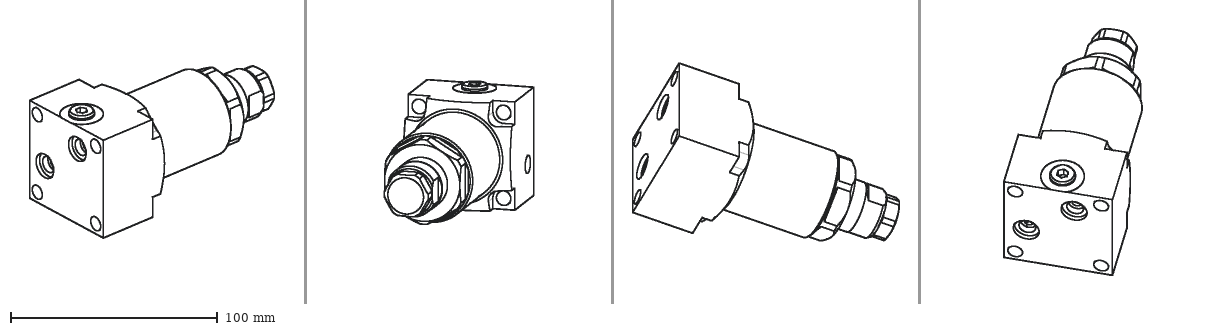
import cadquery as cq
import math


block_width = 53.9
block_length = 41.4
block_half = block_width / 2
block_chamfer_length = 1.9
block_chamfer_angle = 30.0

mount_offset = 21.3
mount_radius = 3.6
pocket_radius = 5.4
pocket_floor_y = 32.0

port_centres = [(7.9, 14.4), (-15.8, -4.6)]
seal_radius = 6.4
seal_depth = 2.3
port_radius = 4.1
port_depth = 5.6
port_bore_radius = 2.3
port_bore_depth = 11.5
port_drill_radius = 1.9
port_drill_depth = 15.0

side_port_y = 10.2
side_port_z = -9.2
side_port_radius = 4.4
side_port_depth = 10.0

plug_y = 9.8
plug_radius = 6.3
plug_height = 2.0
plug_chamfer = 0.6
plug_chamfer_height = 1.3
plug_hex_flats = 5.0
plug_hex_depth = 3.8
spotface_radius = 10.5
spotface_depth = 0.1

barrel_radius = 22.2
barrel_end_y = 87.7
barrel_chamfer = 1.0

nut_end_y = 97.7
nut_radius = 21.1
nut_apothem = 19.0
nut_chamfer = 2.0
nut_flat_start_y = 88.9

neck_end_y = 117.6
neck_radius = 12.7
neck_base_radius = 12.8
neck_base_end_y = 106.2
neck_chamfer = 1.0
neck_chamfer_length = 1.8
neck_flat_offset = 11.2
neck_flat_start_y = 108.1

cap_end_y = 125.4
cap_radius = 11.2
cap_apothem = 10.3
cap_top_radius = 9.0
cap_top_chamfer_length = 0.9
cap_bottom_chamfer = 0.4

drill_point_angle = 118.0
overlap = 1.3


def revolve_profile(points):
    """Solid turned about the Y axis from (radius, y) points."""
    return cq.Workplane("XY").polyline(points).close().revolve(360, (0, 0, 0), (0, 1, 0))


def drilled_hole(origin, direction, radius, depth):
    """Cylinder with a conical drill point."""
    tip = radius / math.tan(math.radians(drill_point_angle / 2))
    start = cq.Vector(*origin)
    axis = cq.Vector(*direction)
    shank = cq.Solid.makeCylinder(radius, depth, start, axis)
    point = cq.Solid.makeCone(radius, 0, tip, start + axis * depth, axis)
    return cq.Workplane(obj=shank).union(cq.Workplane(obj=point))


def flat_cutter(offset, start_y, end_y, radius, angle):
    """Cutter for one flat that runs out at 45 degrees, turned about Y by angle from +X."""
    rise = radius - offset + overlap
    outline = [
        (offset, start_y),
        (offset, end_y),
        (offset + rise, end_y),
        (offset + rise, start_y - rise),
    ]
    cutter = cq.Workplane("XY").polyline(outline).close().extrude(radius, both=True)
    return cutter.rotate((0, 0, 0), (0, 1, 0), angle)


def make_block():
    """Square block whose barrel end is turned to a cone."""
    slope = math.tan(math.radians(block_chamfer_angle))
    cone_top_radius = block_half - block_chamfer_length / slope
    blank_radius = block_width
    cone_drop = (blank_radius - cone_top_radius) * slope
    blank = revolve_profile([
        (0, 0),
        (blank_radius, 0),
        (blank_radius, block_length - cone_drop),
        (cone_top_radius, block_length),
        (0, block_length),
    ])
    square = cq.Workplane("XY").box(block_width, block_length, block_width)
    return square.translate((0, block_length / 2, 0)).intersect(blank)


def corner_pocket(sign_x, sign_z):
    """Clearance for a screw head, rounded on its inner edge and open to both outer sides."""
    inner = mount_offset - pocket_radius
    size = block_half - inner + overlap
    depth = block_length - pocket_floor_y + overlap
    centre = inner + size / 2
    pocket = cq.Workplane("XY").box(size, depth, size)
    inner_x = "<X" if sign_x > 0 else ">X"
    inner_z = "<Z" if sign_z > 0 else ">Z"
    pocket = pocket.edges(f"|Y and {inner_x} and {inner_z}").fillet(pocket_radius)
    return pocket.translate((sign_x * centre, pocket_floor_y + depth / 2, sign_z * centre))


def make_barrel():
    return revolve_profile([
        (0, block_length - overlap),
        (barrel_radius, block_length - overlap),
        (barrel_radius, barrel_end_y - barrel_chamfer),
        (barrel_radius - barrel_chamfer, barrel_end_y),
        (0, barrel_end_y),
    ])


def make_nut():
    nut = revolve_profile([
        (0, barrel_end_y - overlap),
        (nut_radius, barrel_end_y - overlap),
        (nut_radius, nut_end_y - nut_chamfer),
        (nut_radius - nut_chamfer, nut_end_y),
        (0, nut_end_y),
    ])
    flat_end_y = nut_end_y + overlap
    for angle in range(0, 360, 60):
        nut = nut.cut(flat_cutter(nut_apothem, nut_flat_start_y, flat_end_y, nut_radius, angle))
    return nut


def make_neck():
    neck = revolve_profile([
        (0, nut_end_y - overlap),
        (neck_base_radius, nut_end_y - overlap),
        (neck_base_radius, neck_base_end_y),
        (neck_radius, neck_base_end_y),
        (neck_radius, neck_end_y - neck_chamfer_length),
        (neck_radius - neck_chamfer, neck_end_y),
        (0, neck_end_y),
    ])
    flat_end_y = neck_end_y + overlap
    for angle in (0, 180):
        neck = neck.cut(flat_cutter(neck_flat_offset, neck_flat_start_y, flat_end_y, neck_base_radius, angle))
    return neck


def make_cap():
    turned = revolve_profile([
        (0, neck_end_y - overlap),
        (cap_radius - cap_bottom_chamfer, neck_end_y - overlap),
        (cap_radius - cap_bottom_chamfer, neck_end_y),
        (cap_radius, neck_end_y + cap_bottom_chamfer),
        (cap_radius, cap_end_y - cap_top_chamfer_length),
        (cap_top_radius, cap_end_y),
        (0, cap_end_y),
    ])
    corner_diameter = 2 * cap_apothem / math.cos(math.radians(30))
    hexagon = cq.Workplane("XZ", origin=(0, cap_end_y, 0)).polygon(6, corner_diameter)
    return turned.intersect(hexagon.extrude(cap_end_y - neck_end_y + overlap))


def add_plug(body):
    """Chamfered plug head with a hexagon socket, standing in a shallow spotface."""
    top = cq.Workplane("XY", origin=(0, plug_y, block_half))
    body = body.cut(top.circle(spotface_radius).extrude(-spotface_depth))
    plug_base = cq.Workplane("XY", origin=(0, plug_y, block_half - overlap))
    plug = plug_base.circle(plug_radius).extrude(overlap + plug_height)
    plug = plug.faces(">Z").chamfer(plug_chamfer_height, plug_chamfer)
    socket = (
        cq.Workplane("XY", origin=(0, plug_y, block_half + plug_height))
        .transformed(rotate=(0, 0, 90))
        .polygon(6, plug_hex_flats / math.cos(math.radians(30)))
        .extrude(-plug_hex_depth)
    )
    return body.union(plug).cut(socket)


def cut_ports(body):
    for x, z in port_centres:
        face = cq.Workplane("XZ", origin=(x, 0, z))
        body = body.cut(face.circle(seal_radius).extrude(-seal_depth))
        body = body.cut(face.circle(port_radius).extrude(-port_depth))
        body = body.cut(face.circle(port_bore_radius).extrude(-port_bore_depth))
        body = body.cut(drilled_hole((x, 0, z), (0, 1, 0), port_drill_radius, port_drill_depth))
    side_start = (-block_half, side_port_y, side_port_z)
    return body.cut(drilled_hole(side_start, (1, 0, 0), side_port_radius, side_port_depth))


def cut_mounting(body):
    for sign_x in (-1, 1):
        for sign_z in (-1, 1):
            centre = (sign_x * mount_offset, 0, sign_z * mount_offset)
            hole = cq.Workplane("XZ", origin=centre).circle(mount_radius).extrude(-block_length)
            body = body.cut(corner_pocket(sign_x, sign_z)).cut(hole)
    return body


block = add_plug(cut_ports(cut_mounting(make_block())))
result = block.union(make_barrel()).union(make_nut()).union(make_neck()).union(make_cap())